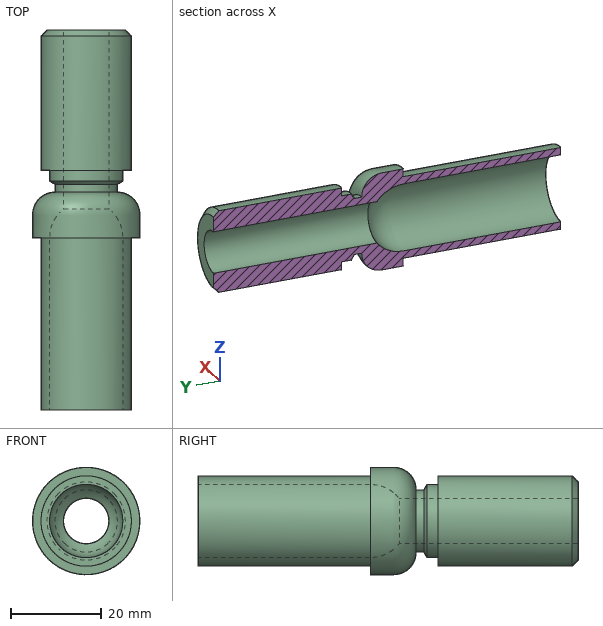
import cadquery as cq
import math

length = 84.0
tube_radius = 20.0 / 2
collar_radius = 23.8 / 2
neck_radius = 13.8 / 2
ring_radius = 16.2 / 2
socket_radius = 16.2 / 2
bore_radius = 10.0 / 2

collar_start = 38.05
collar_cylinder_length = 5.1
neck_length = 1.7
ring_taper_length = 0.75
ring_length = 2.35
end_chamfer = 1.35
socket_wall_end = collar_start

dome_radius = collar_radius - neck_radius
dome_start = collar_start + collar_cylinder_length
neck_start = dome_start + dome_radius
taper_start = neck_start + neck_length
ring_start = taper_start + ring_taper_length
rear_tube_start = ring_start + ring_length

floor_middle_radius = (socket_radius + bore_radius) / 2


def floor_point(radius):
    """Point of the spherical floor at the given distance from the axis."""
    return (radius, socket_wall_end + math.sqrt(socket_radius**2 - radius**2))


def half_section():
    """Radial half section with X as radius and Y measured from the socket end."""
    dome_middle = (
        neck_radius + dome_radius * math.sqrt(0.5),
        dome_start + dome_radius * math.sqrt(0.5),
    )
    return (
        cq.Workplane("XY")
        .moveTo(socket_radius, 0)
        .lineTo(tube_radius, 0)
        .lineTo(tube_radius, collar_start)
        .lineTo(collar_radius, collar_start)
        .lineTo(collar_radius, dome_start)
        .threePointArc(dome_middle, (neck_radius, neck_start))
        .lineTo(neck_radius, taper_start)
        .lineTo(ring_radius, ring_start)
        .lineTo(ring_radius, rear_tube_start)
        .lineTo(tube_radius, rear_tube_start)
        .lineTo(tube_radius, length - end_chamfer)
        .lineTo(tube_radius - end_chamfer, length)
        .lineTo(bore_radius, length)
        .lineTo(*floor_point(bore_radius))
        .threePointArc(floor_point(floor_middle_radius), (socket_radius, socket_wall_end))
        .close()
    )


sleeve = half_section().revolve(360, (0, 0, 0), (0, 1, 0))
result = sleeve.translate((0, -length / 2, 0))